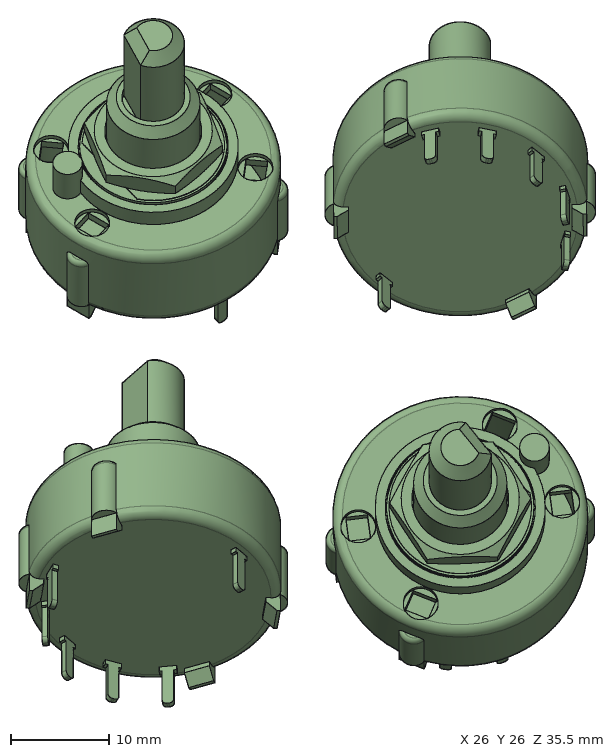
import cadquery as cq
import math

total_height = 35.5
body_bottom = 5.0
body_top = body_bottom + 10.5
flange_top = body_top + 2.0
washer_top = flange_top + 0.2
nut_top = washer_top + 2.3
bushing_top = 25.5
post_top = 19.5

body_diameter = 26.0
body_edge_radius = 1.0
flange_diameter = 17.32
wall_thickness = 1.0
floor_thickness = 1.0
roof_thickness = 1.4
embed = 0.35

washer_diameter = 15.0
recess_diameter = 15.3
recess_depth = 0.2
key_disc_diameter = 14.52
key_disc_height = 0.07
key_flat_offset = 5.6
key_flat_angle = -76.0

nut_across_flats = 12.45
nut_face_diameter = 12.05
nut_chamfer_height = 0.57
nut_bore_diameter = 9.87
nut_turn = -5.3

bushing_diameter = 9.5
bushing_chamfer = 1.0
shaft_diameter = 6.35
shaft_chamfer = 1.2
shaft_flat_offset = 2.35
shaft_flat_depth_in_bushing = 1.0

post_diameter = 3.0
post_offset = 9.5

clip_angles = (60, 120, 240, 300)
pocket_center_radius = 10.47
pocket_diameter = 3.55
pocket_depth = 0.5
slot_width = 2.6
slot_length = 2.25
lug_center_radius = 12.3
lug_diameter = 3.0
lug_bottom = 5.55
lug_top = 12.5
lug_edge_radius = 0.5
hook_width = 2.77
hook_outer_radius = 12.9
hook_depth = 1.5
hook_tip_depth = 0.35
hook_bottom = 3.35
hook_taper_start = 4.45

terminal_angles = (15, 135, 165, 195, 225, 255)
terminal_ring_radius = 11.08
terminal_thickness = 0.6
terminal_width = 1.2
terminal_tip_radius = 0.5
shoulder_width = 1.8
shoulder_height = 0.57


def cylinder(diameter, bottom, top):
    return cq.Workplane("XY").workplane(offset=bottom).circle(diameter / 2).extrude(top - bottom)


def place(shape, radius, angle):
    """Move a shape out along +X, then turn it about the part axis."""
    return shape.translate((radius, 0, 0)).rotate((0, 0, 0), (0, 0, 1), angle)


def make_body():
    body = cylinder(body_diameter, body_bottom, body_top).edges().fillet(body_edge_radius)
    flange = cylinder(flange_diameter, body_top - embed, flange_top)
    recess = cylinder(recess_diameter, flange_top - recess_depth, flange_top)
    return body.union(flange).cut(recess)


def make_cavity():
    return cylinder(
        body_diameter - 2 * wall_thickness,
        body_bottom + floor_thickness,
        body_top - roof_thickness,
    )


def make_washer():
    """Round washer topped by a thin disc that has one flat on its edge."""
    disc_bottom = washer_top - key_disc_height
    washer = cylinder(washer_diameter, flange_top - recess_depth, disc_bottom)
    flat_cut = (
        cq.Workplane("XY").workplane(offset=disc_bottom)
        .center(key_flat_offset + key_disc_diameter / 2, 0)
        .rect(key_disc_diameter, key_disc_diameter).extrude(key_disc_height)
        .rotate((0, 0, 0), (0, 0, 1), key_flat_angle)
    )
    return washer.union(cylinder(key_disc_diameter, disc_bottom, washer_top).cut(flat_cut))


def make_nut():
    corner_radius = nut_across_flats / math.sqrt(3)
    face_radius = nut_face_diameter / 2
    height = nut_top - washer_top
    hexagon = (
        cq.Workplane("XY").workplane(offset=washer_top)
        .polygon(6, 2 * corner_radius).extrude(height)
    )
    chamfer_envelope = (
        cq.Workplane("XZ")
        .moveTo(0, washer_top)
        .lineTo(face_radius, washer_top)
        .lineTo(corner_radius, washer_top + nut_chamfer_height)
        .lineTo(corner_radius, nut_top - nut_chamfer_height)
        .lineTo(face_radius, nut_top)
        .lineTo(0, nut_top)
        .close()
        .revolve(360, (0, 0, 0), (0, 1, 0))
    )
    bore = cylinder(nut_bore_diameter, washer_top, nut_top)
    return hexagon.intersect(chamfer_envelope).cut(bore).rotate((0, 0, 0), (0, 0, 1), nut_turn)


def make_bushing():
    bushing = cylinder(bushing_diameter, flange_top, bushing_top)
    shaft_bore = cylinder(shaft_diameter, bushing_top - shaft_flat_depth_in_bushing, bushing_top)
    return bushing.faces(">Z").chamfer(bushing_chamfer).cut(shaft_bore)


def make_shaft():
    """D-shaped shaft whose flat faces -Y and whose end is chamfered all round."""
    bottom = bushing_top - shaft_flat_depth_in_bushing
    shaft = cylinder(shaft_diameter, bottom, total_height).faces(">Z").chamfer(shaft_chamfer)
    flat_cut = (
        cq.Workplane("YZ")
        .moveTo(-shaft_diameter, bottom)
        .lineTo(-shaft_flat_offset, bottom)
        .lineTo(-shaft_flat_offset, total_height - shaft_chamfer)
        .lineTo(-shaft_flat_offset + shaft_chamfer, total_height)
        .lineTo(-shaft_diameter, total_height)
        .close()
        .extrude(shaft_diameter, both=True)
    )
    return shaft.cut(flat_cut)


def make_post():
    return cylinder(post_diameter, body_top - embed, post_top).translate((0, -post_offset, 0))


def make_pocket():
    """Shallow round pocket with a rectangular slot through the rest of the roof."""
    round_part = cylinder(pocket_diameter, body_top - pocket_depth, body_top)
    slot = (
        cq.Workplane("XY").workplane(offset=body_top - roof_thickness)
        .rect(slot_length, slot_width).extrude(roof_thickness)
    )
    return round_part.union(slot)


def make_lug():
    lug = cylinder(lug_diameter, lug_bottom, lug_top)
    return lug.faces(">Z").edges().fillet(lug_edge_radius)


def make_hook():
    """Block below a lug, tapered on its inner side; its outer face lies at x = 0."""
    return (
        cq.Workplane("XZ")
        .moveTo(0, lug_bottom)
        .lineTo(0, hook_bottom)
        .lineTo(-hook_tip_depth, hook_bottom)
        .lineTo(-hook_depth, hook_taper_start)
        .lineTo(-hook_depth, lug_bottom)
        .close()
        .extrude(hook_width / 2, both=True)
    )


def make_terminal():
    """Flat terminal with a rounded tip and a wider shoulder under the body."""
    blade = (
        cq.Workplane("XY")
        .rect(terminal_thickness, terminal_width).extrude(body_bottom + embed)
        .faces("<Z").edges("|X").fillet(terminal_tip_radius)
    )
    shoulder = (
        cq.Workplane("XY").workplane(offset=body_bottom - shoulder_height)
        .rect(terminal_thickness, shoulder_width).extrude(shoulder_height + embed)
    )
    return blade.union(shoulder)


result = make_body()

for angle in clip_angles:
    result = result.union(place(make_lug(), lug_center_radius, angle))
    result = result.union(place(make_hook(), hook_outer_radius, angle))

result = result.cut(make_cavity())

for angle in clip_angles:
    result = result.cut(place(make_pocket(), pocket_center_radius, angle))

for angle in terminal_angles:
    result = result.union(place(make_terminal(), terminal_ring_radius, angle))

for feature in (make_washer(), make_bushing(), make_nut(), make_shaft(), make_post()):
    result = result.union(feature)